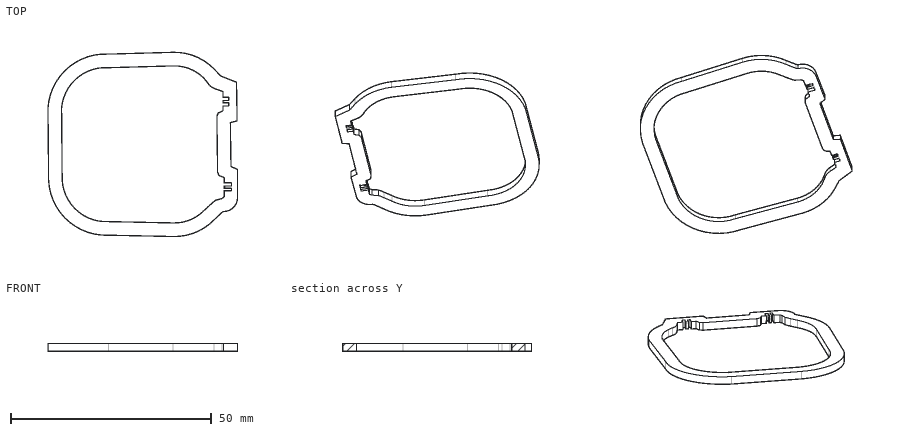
import cadquery as cq
import math

thickness = 2.0
half_length = 23.65
half_width = 22.99
rim_width = 3.45
left_lean = 0.15
top_drop = 0.45
bottom_rise = 0.33
left_upper_y = 9.06
left_lower_y = -8.9
side_left_x = -8.5
side_right_x = 7.6
upper_left_radius = 14.4
lower_left_radius = 14.4
upper_right_radius = 13.75
lower_right_radius = 13.75
diagonal_start_x = 17.7
diagonal_start_y = 18.9

upper_shoulder = (19.42, 17.1)
upper_block_top = (23.4, 15.5)
upper_block_bottom = (23.55, 5.85)
upper_pocket_x = 19.98
upper_pocket_top_y = 13.15
upper_pocket_bottom_y = 8.4
upper_throat_bend = (16.2, 15.3)
upper_throat_end = (18.1, 13.8)

bar_outer_top = (21.87, 5.4)
bar_outer_bottom = (22.02, -5.5)
bar_inner_top = (18.45, 7.0)
bar_inner_bottom = (18.62, -6.85)
bar_upper_bend = (18.8, 7.85)
bar_lower_bend = (18.95, -7.75)

lower_block_top_y = -6.2
lower_block_radius = 3.5
lower_block_centre_y = -13.25
lower_shoulder = (19.7, -17.0)
lower_pocket_x = 20.27
lower_pocket_top_y = -8.3
lower_pocket_bottom_y = -13.05
lower_lip = (19.75, -13.45)
lower_throat_start = (16.9, -14.95)
lower_throat_end = (18.15, -13.9)

upper_slot_top_y = 11.73
upper_slot_bottom_y = 9.6
upper_slot_depth = 1.45
lower_slot_top_y = -9.58
lower_slot_bottom_y = -11.52
lower_slot_depth = 1.8
tongue_width = 0.6
tongue_tip_radius = 0.3
upper_tongue_y = 10.65
lower_tongue_y = -10.65
pin_hole_diameter = 0.8
upper_pin_setback = 0.75
lower_pin_setback = 0.5


def add_rim(path, inset):
    """Continue a path from the upper diagonal, round the left of the frame, to the lower diagonal."""
    diagonal_inset = inset * math.sqrt(0.5)
    diagonal_x = diagonal_start_x - diagonal_inset
    diagonal_y = diagonal_start_y - diagonal_inset
    left = -half_length + inset
    side = half_width - inset
    return (
        path.lineTo(diagonal_x, diagonal_y)
        .radiusArc((side_right_x, side), inset - upper_right_radius)
        .lineTo(side_left_x, side - top_drop)
        .radiusArc((left, left_upper_y), inset - upper_left_radius)
        .lineTo(left + left_lean, left_lower_y)
        .radiusArc((side_left_x, -side + bottom_rise), inset - lower_left_radius)
        .lineTo(side_right_x, -side)
        .radiusArc((diagonal_x, -diagonal_y), inset - lower_right_radius)
    )


def outer_body():
    """Solid plate bounded by the outer outline."""
    round_end_x = half_length - lower_block_radius
    round_end = (round_end_x, lower_block_centre_y - lower_block_radius)
    path = add_rim(cq.Workplane("XY").moveTo(*upper_shoulder), 0)
    return (
        path.lineTo(*lower_shoulder)
        .lineTo(*round_end)
        .radiusArc((half_length, lower_block_centre_y), -lower_block_radius)
        .lineTo(half_length, lower_block_top_y)
        .lineTo(*bar_outer_bottom)
        .lineTo(*bar_outer_top)
        .lineTo(*upper_block_bottom)
        .lineTo(*upper_block_top)
        .close()
        .extrude(thickness)
    )


def opening():
    """Solid filling the inside of the frame, up to the pockets of the hinge blocks."""
    path = add_rim(cq.Workplane("XY").moveTo(*upper_throat_bend), rim_width)
    return (
        path.lineTo(*lower_throat_start)
        .tangentArcPoint(lower_throat_end, relative=False)
        .lineTo(*lower_lip)
        .lineTo(lower_pocket_x, lower_pocket_bottom_y)
        .lineTo(lower_pocket_x, lower_pocket_top_y)
        .lineTo(*bar_lower_bend)
        .lineTo(*bar_inner_bottom)
        .lineTo(*bar_inner_top)
        .lineTo(*bar_upper_bend)
        .lineTo(upper_pocket_x, upper_pocket_bottom_y)
        .lineTo(upper_pocket_x, upper_pocket_top_y)
        .lineTo(*upper_throat_end)
        .tangentArcPoint(upper_throat_bend, relative=False)
        .close()
        .extrude(thickness)
    )


def slot(face_x, depth, bottom_y, top_y):
    """Rectangular slot cut into a hinge block from its inner face."""
    pocket = cq.Workplane("XY").box(depth, top_y - bottom_y, thickness, centered=False)
    return pocket.translate((face_x, bottom_y, 0))


def tongue(tip_x, length, centre_y, pin_setback):
    """Thin tongue with rounded tip edges and a cross hole for the hinge pin."""
    blade = (
        cq.Workplane("XY")
        .box(length, tongue_width, thickness, centered=(False, True, False))
        .faces("<X")
        .edges("|Y")
        .fillet(tongue_tip_radius)
    )
    pin_hole = (
        cq.Workplane("XZ")
        .center(pin_setback, thickness / 2)
        .circle(pin_hole_diameter / 2)
        .extrude(tongue_width, both=True)
    )
    return blade.cut(pin_hole).translate((tip_x, centre_y, 0))


result = outer_body().cut(opening())

result = result.cut(slot(upper_pocket_x, upper_slot_depth, upper_slot_bottom_y, upper_slot_top_y))
result = result.union(tongue(upper_pocket_x, upper_slot_depth, upper_tongue_y, upper_pin_setback))

result = result.cut(slot(lower_pocket_x, lower_slot_depth, lower_slot_bottom_y, lower_slot_top_y))
result = result.union(tongue(lower_pocket_x, lower_slot_depth, lower_tongue_y, lower_pin_setback))